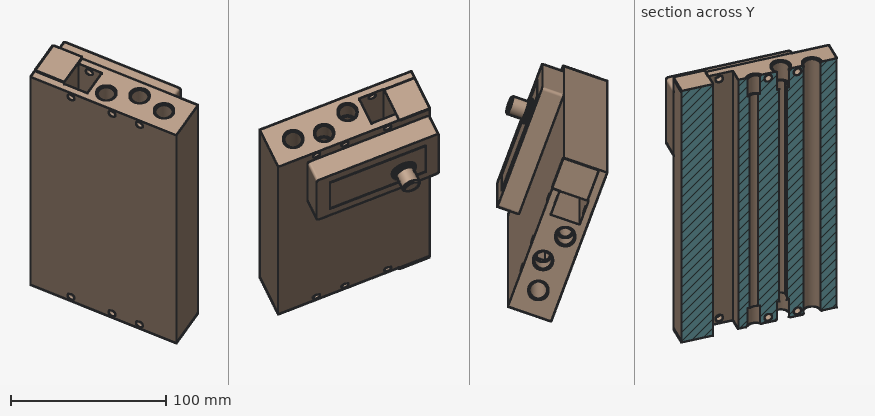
import cadquery as cq
import math

BODY_WIDTH = 106.7
BODY_DEPTH = 29.7
BODY_HEIGHT = 201.0

SIDE_STEP = 0.2

PAD_RIGHT = 21.8
PAD_THICKNESS = 1.0
PAD_FRONT = 5.7
PAD_OVERHANG = 0.5
PAD_CORNER_RADIUS = 0.5

CHANNEL_WIDTH = 17.2
CHANNEL_FRONT = 4.9
CHANNEL_BACK = 24.7

FIRST_PORT_X = 49.7
PORT_PITCH = 20.0
PORT_X = [FIRST_PORT_X + i * PORT_PITCH for i in range(3)]
PORT_Y = [10.9, 18.9, 14.9]
PORT_DIAMETER = 11.4
PORT_DEPTH = 15.0
PORT_CHAMFER = 0.9
NARROW_BORE_DIAMETER = 9.4
FLATTENED_BORE_DIAMETER = 9.6
FLATTENED_BORE_WIDTH = 8.0

MOUNT_DIAMETER = 5.0
MOUNT_EDGE_DISTANCE = 4.2
MOUNT_X = [FIRST_PORT_X + offset * PORT_PITCH for offset in (-1.0, 0.5, 1.5)]

HOUSING_WIDTH = 85.9
HOUSING_HEIGHT = 53.8
HOUSING_DEPTH = 14.7
HOUSING_DROP = 9.3
HOUSING_RADIUS = 2.0
HOUSING_CENTER_X = SIDE_STEP + HOUSING_WIDTH / 2
HOUSING_TOP = BODY_HEIGHT - HOUSING_DROP
HOUSING_CENTER_Z = HOUSING_TOP - HOUSING_HEIGHT / 2
HOUSING_BACK = BODY_DEPTH + HOUSING_DEPTH

LABEL_MARGIN = 9.2
LABEL_THICKNESS = 0.3

CONNECTOR_X = 25.2
CONNECTOR_Z = BODY_HEIGHT - 39.2
WASHER_DIAMETER = 16.6
WASHER_TOP = 45.9
NUT_ACROSS_FLATS = 13.3
NUT_TOP = 47.2
BARREL_DIAMETER = 12.2
BARREL_CHAMFER = 1.1
BARREL_TOP = 58.4


def box(x_range, y_range, z_range):
    """Axis-aligned box spanning three (low, high) ranges."""
    sizes = [high - low for low, high in (x_range, y_range, z_range)]
    corner = (x_range[0], y_range[0], z_range[0])
    return cq.Workplane("XY").box(*sizes, centered=False).translate(corner)


def facing_back(x, y, z):
    """Workplane at a point, with its normal along +Y and its local Y along +Z."""
    return cq.Workplane(cq.Plane(origin=(x, y, z), xDir=(-1, 0, 0), normal=(0, 1, 0)))


def pad(z_bottom):
    """Thin end pad with rounded upright corners."""
    plate = box(
        (SIDE_STEP, PAD_RIGHT),
        (PAD_FRONT, BODY_DEPTH + PAD_OVERHANG),
        (z_bottom, z_bottom + PAD_THICKNESS),
    )
    return plate.edges("|Z").fillet(PAD_CORNER_RADIUS)


def end_pads():
    """Pads lying on the top and bottom faces of the block."""
    return pad(BODY_HEIGHT).union(pad(-PAD_THICKNESS))


def channel():
    return box(
        (PAD_RIGHT, PAD_RIGHT + CHANNEL_WIDTH),
        (CHANNEL_FRONT, CHANNEL_BACK),
        (0, BODY_HEIGHT),
    )


def bore(x, y, diameter):
    """Round cutter over the full block height."""
    return cq.Workplane("XY").center(x, y).circle(diameter / 2).extrude(BODY_HEIGHT)


def port_mouth(x, y):
    """Chamfered port entering from the bottom face, as a revolved cutter."""
    radius = PORT_DIAMETER / 2
    profile = [
        (0, 0),
        (radius + PORT_CHAMFER, 0),
        (radius, PORT_CHAMFER),
        (radius, PORT_DEPTH),
        (0, PORT_DEPTH),
    ]
    cutter = cq.Workplane("XZ").polyline(profile).close().revolve(360, (0, 0), (0, 1))
    return cutter.translate((x, y, 0))


def ports():
    """Three ports at each end, joined by a narrow, a flattened and a full-size bore."""
    narrow, flattened, full = zip(PORT_X, PORT_Y)
    flats = box(
        (flattened[0] - FLATTENED_BORE_WIDTH / 2, flattened[0] + FLATTENED_BORE_WIDTH / 2),
        (0, BODY_DEPTH),
        (0, BODY_HEIGHT),
    )
    cutters = bore(*narrow, NARROW_BORE_DIAMETER)
    cutters = cutters.union(bore(*flattened, FLATTENED_BORE_DIAMETER).intersect(flats))
    cutters = cutters.union(bore(*full, PORT_DIAMETER))
    for x, y in (narrow, flattened, full):
        lower = port_mouth(x, y)
        upper = lower.mirror("XY", (0, 0, BODY_HEIGHT / 2))
        cutters = cutters.union(lower).union(upper)
    return cutters


def mounting_holes():
    """Two rows of three holes through the depth of the block."""
    points = [
        (-x, z)
        for x in MOUNT_X
        for z in (MOUNT_EDGE_DISTANCE, BODY_HEIGHT - MOUNT_EDGE_DISTANCE)
    ]
    return facing_back(0, 0, 0).pushPoints(points).circle(MOUNT_DIAMETER / 2).extrude(BODY_DEPTH)


def housing():
    """Rounded housing with its label plate."""
    case = (
        facing_back(HOUSING_CENTER_X, BODY_DEPTH, HOUSING_CENTER_Z)
        .rect(HOUSING_WIDTH, HOUSING_HEIGHT)
        .extrude(HOUSING_DEPTH)
        .edges("|Y")
        .fillet(HOUSING_RADIUS)
    )
    label = (
        facing_back(HOUSING_CENTER_X, HOUSING_BACK, HOUSING_CENTER_Z)
        .rect(HOUSING_WIDTH - 2 * LABEL_MARGIN, HOUSING_HEIGHT - 2 * LABEL_MARGIN)
        .extrude(LABEL_THICKNESS)
    )
    return case.union(label)


def connector():
    """Washer, hex nut with corners up and down, and barrel on one axis."""
    base = facing_back(CONNECTOR_X, HOUSING_BACK, CONNECTOR_Z)
    washer = base.circle(WASHER_DIAMETER / 2).extrude(WASHER_TOP - HOUSING_BACK)
    across_corners = NUT_ACROSS_FLATS / math.cos(math.pi / 6)
    nut = (
        base.transformed(rotate=(0, 0, 90))
        .polygon(6, across_corners)
        .extrude(NUT_TOP - HOUSING_BACK)
    )
    barrel = (
        base.circle(BARREL_DIAMETER / 2)
        .extrude(BARREL_TOP - HOUSING_BACK)
        .faces(">Y")
        .chamfer(BARREL_CHAMFER)
    )
    return washer.union(nut).union(barrel)


block = box((0, BODY_WIDTH), (0, BODY_DEPTH), (0, BODY_HEIGHT))
block = block.cut(channel()).cut(ports()).cut(mounting_holes())
result = block.union(end_pads()).union(housing()).union(connector())